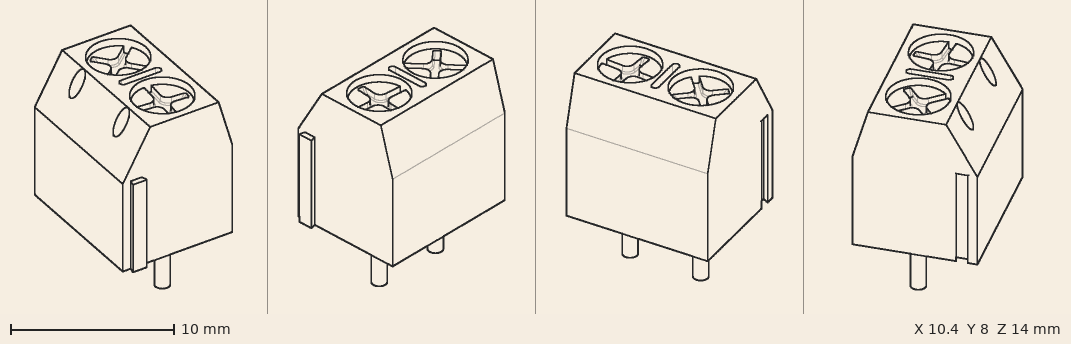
import cadquery as cq


width = 10.0
depth = 8.0
height = 10.0
shoulder = 6.5
front_slope_run = 2.0
back_slope_run = 1.0

pole_pitch = width / 2
pole_xs = [pole_pitch / 2, pole_pitch * 3 / 2]
screw_y = 4.5
pin_d = 1.0
pin_length = 4.0
test_hole_d = 1.0
test_hole_y = 1.5
test_hole_floor = shoulder

well_d = 4.0
head_d = 3.9
head_height = 1.0
head_recess = 0.5
head_z = height - head_recess
head_angles = [-50, -5]

slot_w = 0.5
slot_depth = 0.5
ramp_top_length = 3.5
ramp_floor_length = 2.9
cross_corner_r = 0.5
slot_floor_r = 0.1

divider_w = 0.5
divider_length = 3.0
divider_depth = 1.0

dovetail_y = 1.0
dovetail_depth = 0.4
tab_rim = 0.1
tab_wide = 1.0
tab_narrow = 0.8
groove_wide = 1.25
groove_narrow = 0.74


def make_housing():
    outline = [
        (0, 0),
        (depth, 0),
        (depth, shoulder),
        (depth - back_slope_run, height),
        (front_slope_run, height),
        (0, shoulder),
    ]
    return cq.Workplane("YZ").polyline(outline).close().extrude(width)


def dovetail(root_x, narrow, wide, rim=0):
    """Shoulder-high prism that widens towards +X, with an optional straight rim at its wide end."""
    end_x = root_x + dovetail_depth
    front_half = [(root_x, -narrow / 2), (end_x - rim, -wide / 2)]
    if rim > 0:
        front_half.append((end_x, -wide / 2))
    back_half = [(x, -y) for x, y in reversed(front_half)]
    outline = cq.Workplane("XY", origin=(0, dovetail_y, 0)).polyline(front_half + back_half).close()
    return outline.extrude(shoulder)


def make_drive_slots():
    """Cutter for one head: an open slot along X crossing a ramped slot along Y."""
    open_slot = cq.Workplane("XY").box(well_d, slot_w, slot_depth, centered=(True, True, False))
    ramp_outline = [
        (-ramp_floor_length / 2, 0),
        (ramp_floor_length / 2, 0),
        (ramp_top_length / 2, slot_depth),
        (-ramp_top_length / 2, slot_depth),
    ]
    ramped_slot = cq.Workplane("YZ").polyline(ramp_outline).close().extrude(slot_w / 2, both=True)
    cross = open_slot.union(ramped_slot)

    half_w = slot_w / 2
    for side_x in (-half_w, half_w):
        for side_y in (-half_w, half_w):
            corner = cq.selectors.NearestToPointSelector((side_x, side_y, slot_depth / 2))
            cross = cross.edges(corner).fillet(cross_corner_r)

    ramp_sides = cross.edges("%LINE and (not (|X or |Y or |Z))")
    floor_corners = cross.faces("<Z").edges("%CIRCLE")
    return ramp_sides.add(floor_corners).fillet(slot_floor_r)


def make_screw_well(x, angle):
    """Cutter for one pole: the well above the head, the gap around it and its drive slots."""
    head = cq.Workplane("XY").circle(head_d / 2).extrude(-head_height)
    head = head.cut(make_drive_slots().translate((0, 0, -slot_depth)))
    head = head.rotate((0, 0, 0), (0, 0, 1), angle).translate((x, screw_y, head_z))
    well = (
        cq.Workplane("XY", origin=(x, screw_y, height))
        .circle(well_d / 2)
        .extrude(-(head_recess + head_height))
    )
    return well.cut(head)


housing = make_housing()
housing = housing.union(dovetail(width, tab_narrow, tab_wide, tab_rim))
housing = housing.cut(dovetail(0, groove_narrow, groove_wide))

divider = (
    cq.Workplane("XY", origin=(width / 2, screw_y, height))
    .slot2D(divider_length, divider_w, 90)
    .extrude(-divider_depth)
)
housing = housing.cut(divider)

for pole_x, head_angle in zip(pole_xs, head_angles):
    housing = housing.cut(make_screw_well(pole_x, head_angle))
    test_hole = (
        cq.Workplane("XY", origin=(pole_x, test_hole_y, test_hole_floor))
        .circle(test_hole_d / 2)
        .extrude(height - test_hole_floor)
    )
    housing = housing.cut(test_hole)
    pin = cq.Workplane("XY", origin=(pole_x, screw_y, 0)).circle(pin_d / 2).extrude(-pin_length)
    housing = housing.union(pin)

result = housing